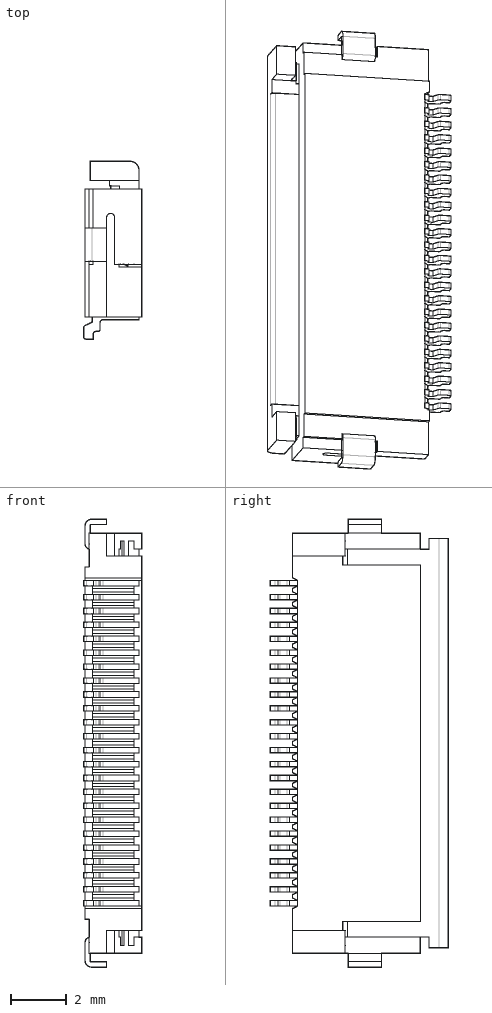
import cadquery as cq
import math


body_left = 0.05
body_right = 2.1
body_length = 4.6
body_half = 7.55
end_left = 0.2
end_start = 6.33

contact_count = 24
contact_pitch = 0.5
contact_width = 0.2
contact_right = 2.0
contact_front = -0.1
contact_reach = 0.8
foot_width = 0.35
slope_start = -0.18
foot_back = -0.33
root_left = 0.12
leg_left = 0.31
leg_right = 0.6
leg_bottom = -0.52
bend_radius = 0.1
knee_radius = 0.07

comb_depth = 0.18
comb_floor_half = 5.85
comb_mouth_half = 5.94
tooth_left = 0.33
tooth_right = 1.82
tooth_crest = 0.12

step_left = 0.83
step_floor = 6.73
step_length = 1.89
slot_width = 0.29
slot_end = 3.72
corner_notch_right = 0.34
corner_notch_floor = 7.16

cavity_left = 1.27
cavity_front = 1.8
cavity_floor = 6.4
cavity_lip = 6.97
roof_left = 1.32
roof_right = 1.81
roof_under = 7.26
side_slit_left = 2.0
nose_tip_x = 1.6
nose_tip_y = 1.82
nose_shoulder_x = 1.38
nose_shoulder_y = 1.93
nose_root_y = 2.22
saddle_radius = 0.23

bar_back = 5.6
bar_right = 2.0
bar_half = 5.8
bar_left = 1.0
bar_edge_left = 1.05
bar_edge_radius = 0.16
bar_corner_radius = 0.34
web_left = 0.99
web_half = 6.29
lug_left = 0.24
lug_front = 4.9
lug_half = 7.355
neck_left = 0.93
neck_half = 6.97
neck_front = 4.71
tab_left = 0.97
tab_right = 1.29
tab_bottom = 6.19
tab_top = 6.93

clip_front = 2.0
clip_back = 3.2
clip_left = 0.05
clip_thickness = 0.2
clip_right = 0.83
clip_top = 8.05
clip_bottom = 6.97
clip_bend_radius = 0.25
clip_tip_radius = 0.19


def block(x0, x1, y0, y1, z0, z1):
    """Box between two opposite corners."""
    return cq.Workplane("XY").box(x1 - x0, y1 - y0, z1 - z0, centered=False).translate((x0, y0, z0))


def both_ends(shape):
    """The shape together with its mirror image at the other end of the part."""
    return shape.union(shape.mirror("XY"))


def trapezoid(x0, x1, half_at_face, half_at_depth, z_middle):
    """Prism along X between the housing face and the comb floor."""
    points = [
        (0, z_middle - half_at_face),
        (0, z_middle + half_at_face),
        (comb_depth, z_middle + half_at_depth),
        (comb_depth, z_middle - half_at_depth),
    ]
    return cq.Workplane("YZ").polyline(points).close().extrude(x1 - x0).translate((x0, 0, 0))


def end_cavity():
    """Pocket under the end roof, ending at a pointed nose with a hollow beside it."""
    saddle_x = nose_tip_x + saddle_radius
    saddle_end_y = nose_tip_y + math.sqrt(saddle_radius**2 - (side_slit_left - saddle_x) ** 2)
    area = (
        cq.Workplane("XY")
        .moveTo(cavity_left, cavity_front)
        .lineTo(side_slit_left, cavity_front)
        .lineTo(side_slit_left, saddle_end_y)
        .threePointArc((saddle_x, nose_tip_y + saddle_radius), (nose_tip_x, nose_tip_y))
        .lineTo(nose_shoulder_x, nose_shoulder_y)
        .lineTo(cavity_left, nose_root_y)
        .close()
        .extrude(roof_under - cavity_floor)
        .translate((0, 0, cavity_floor))
    )
    lower = block(cavity_left, side_slit_left, 0, body_length, cavity_floor, cavity_lip)
    upper = block(roof_left, roof_right, 0, body_length, cavity_floor, roof_under)
    return area.intersect(lower.union(upper))


def end_slot():
    """Narrow slot beside the end roof, closed by a half circle."""
    radius = slot_width / 2
    straight_end = slot_end - radius
    return (
        cq.Workplane("XY")
        .moveTo(step_left, 0)
        .lineTo(step_left + slot_width, 0)
        .lineTo(step_left + slot_width, straight_end)
        .threePointArc((step_left + radius, slot_end), (step_left, straight_end))
        .close()
        .extrude(body_half - step_floor)
        .translate((0, 0, step_floor))
    )


def end_cuts():
    """Everything removed from one end of the housing."""
    above = body_half
    cuts = block(0, end_left, 0, body_length, end_start, above)
    cuts = cuts.union(block(step_left, body_right, 0, step_length, step_floor, above))
    cuts = cuts.union(end_slot())
    cuts = cuts.union(
        block(0, corner_notch_right, step_length, body_length, corner_notch_floor, above)
    )
    side_slit = block(side_slit_left, body_right, cavity_front, body_length, cavity_floor, cavity_lip)
    cuts = cuts.union(side_slit)
    return cuts.union(end_cavity())


def housing():
    """Moulded housing with the comb recess, its teeth and the stepped ends."""
    body = block(body_left, body_right, 0, body_length, -body_half, body_half)
    body = body.cut(trapezoid(body_left, body_right, comb_mouth_half, comb_floor_half, 0))
    gap = contact_pitch - contact_width
    for i in range(contact_count - 1):
        z = (i - (contact_count - 2) / 2) * contact_pitch
        body = body.union(trapezoid(tooth_left, tooth_right, tooth_crest / 2, gap / 2, z))
    return body.cut(both_ends(end_cuts()))


def contact():
    """One bent contact, centred on Z = 0: a bar across the comb, a leg and a foot."""
    foot_bottom = -contact_reach
    points = [
        (root_left, comb_depth),
        (root_left, 0),
        (leg_left, 0),
        (leg_left, slope_start),
        (0, foot_back),
        (0, foot_bottom),
        (foot_width, foot_bottom),
        (foot_width, leg_bottom),
        (leg_right, leg_bottom),
        (leg_right, contact_front),
        (contact_right, contact_front),
        (contact_right, comb_depth),
    ]
    profile = cq.Workplane("XY").polyline(points).close()
    strip = profile.extrude(contact_width / 2, both=True)

    rounded = [
        (0, foot_back, bend_radius),
        (0, foot_bottom, bend_radius),
        (foot_width, leg_bottom, bend_radius),
        (leg_right, leg_bottom, knee_radius),
        (leg_right, contact_front, bend_radius),
    ]
    for x, y, radius in rounded:
        bend = strip.edges(cq.NearestToPointSelector((x, y, 0)))
        strip = bend.fillet(radius)
    return strip


def flip_bar():
    """Locking bar behind the housing, with a lug, a neck and a tab at each end."""
    bar = (
        cq.Workplane("XY")
        .polyline([
            (bar_left, body_length),
            (bar_edge_left, bar_back),
            (bar_right, bar_back),
            (bar_right, body_length),
        ])
        .close()
        .extrude(bar_half, both=True)
    )
    back_edge = cq.NearestToPointSelector((bar_edge_left, bar_back, 0))
    bar = bar.edges(back_edge).fillet(bar_edge_radius)
    web = block(web_left, bar_right, body_length, bar_back, bar_half, web_half)
    lug = block(lug_left, bar_right, lug_front, bar_back, web_half, lug_half)
    neck = block(neck_left, bar_right, neck_front, lug_front, web_half, neck_half)
    root = block(tab_right, bar_right, body_length, neck_front, web_half, neck_half)
    tab = block(tab_left, tab_right, body_length, neck_front, tab_bottom, tab_top)
    bar = bar.union(both_ends(web.union(lug).union(neck).union(root).union(tab)))
    return bar.edges("|Z and >X and >Y").fillet(bar_corner_radius)


def clip():
    """Bent hold-down strip at the +Z end: a leg on the housing and an outward arm."""
    inner = clip_left + clip_thickness
    leg = block(clip_left, inner, clip_front, clip_back, clip_bottom, clip_top)
    arm = block(clip_left, clip_right, clip_front, clip_back, clip_top - clip_thickness, clip_top)
    strip = leg.union(arm)
    strip = strip.edges("|Y and <X and >Z").fillet(clip_bend_radius)
    return strip.edges("|Y and <Z and <X").fillet(clip_tip_radius)


def contact_row():
    """All contacts, evenly spaced along Z."""
    pin = contact()
    row = cq.Workplane("XY")
    for i in range(contact_count):
        z = (i - (contact_count - 1) / 2) * contact_pitch
        row = row.add(pin.translate((0, 0, z)))
    return row.combine()


result = housing().union(flip_bar()).union(both_ends(clip())).union(contact_row())